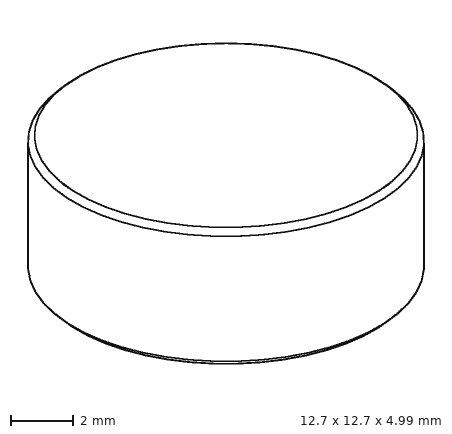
import cadquery as cq

diameter = 12.7
edge_thickness = 4.99
center_thickness = 2.0
chamfer = 0.21

rim_radius = diameter / 2 - chamfer
dish_depth = edge_thickness - center_thickness
sphere_radius = (rim_radius**2 + dish_depth**2) / (2 * dish_depth)
sphere_center_height = center_thickness + sphere_radius


def lens_blank():
    """Disc with its top and bottom outer edges chamfered."""
    disc = cq.Workplane("XY").circle(diameter / 2).extrude(edge_thickness)
    return disc.faces("<Z or >Z").edges().chamfer(chamfer)


def dish_sphere():
    """Sphere whose lowest point sits one center thickness above the underside."""
    return cq.Workplane("XY").sphere(sphere_radius).translate((0, 0, sphere_center_height))


result = lens_blank().cut(dish_sphere())